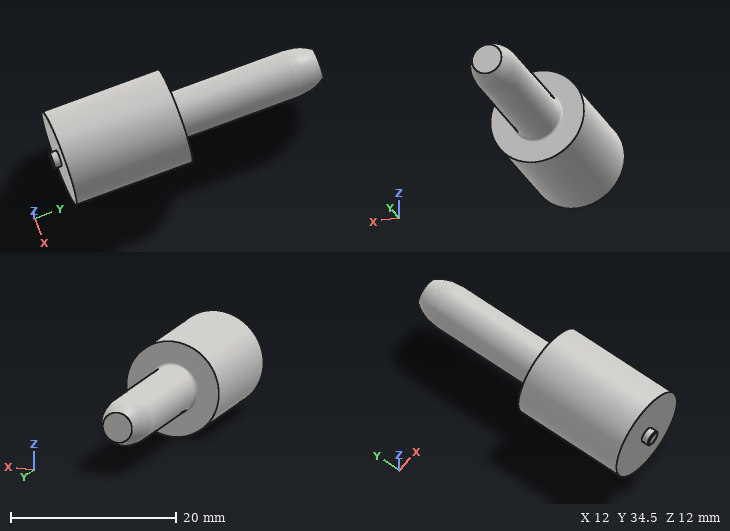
import cadquery as cq
import math

total_length = 34.5
body_diameter = 12.0
body_length = 15.0
stub_diameter = 2.0
stub_length = 1.0
stub_chamfer_length = 0.1
stub_chamfer_depth = 0.2
pin_diameter = 6.0
nose_length = 3.5
nose_arc_radius = pin_diameter
root_fillet = 0.35

body_radius = body_diameter / 2
stub_radius = stub_diameter / 2
pin_radius = pin_diameter / 2
pin_end = total_length - stub_length
nose_start = pin_end - nose_length

nose_drop = nose_arc_radius - math.sqrt(nose_arc_radius**2 - nose_length**2)
tip_radius = pin_radius - nose_drop

half_section = (
    cq.Workplane("YZ")
    .moveTo(-stub_length, 0)
    .lineTo(-stub_length, stub_radius - stub_chamfer_depth)
    .lineTo(-stub_length + stub_chamfer_length, stub_radius)
    .lineTo(0, stub_radius)
    .lineTo(0, body_radius)
    .lineTo(body_length, body_radius)
    .lineTo(body_length, pin_radius + root_fillet)
    .radiusArc((body_length + root_fillet, pin_radius), -root_fillet)
    .lineTo(nose_start, pin_radius)
    .radiusArc((pin_end, tip_radius), nose_arc_radius)
    .lineTo(pin_end, 0)
    .close()
)

result = half_section.revolve(360, (0, 0), (1, 0))